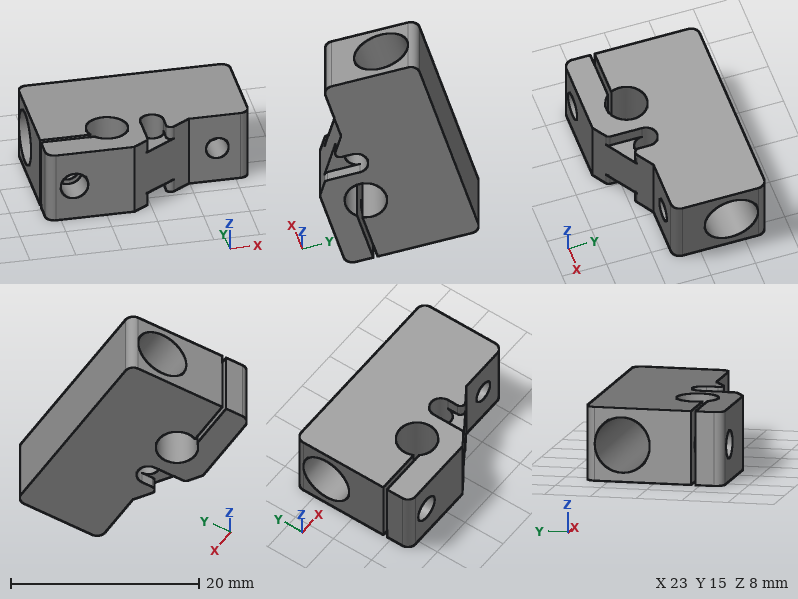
import cadquery as cq
import math

length = 23.0
width = 15.0
height = 8.0
corner_radius = 1.0
mid_z = height / 2

slope_start_x = 9.5
slope_end_x = 16.4
setback_y = 4.5

bore_diameter = 6.0
bore_y = width - height / 2

clamp_diameter = 4.5
clamp_x = 7.5
clamp_y = setback_y
slit_bottom_y = 3.01
slit_width = 0.48

wire_diameter = 2.5
wire_x = 12.5
wire_y = 5.0
channel_depth = 1.47
channel_mouth_radius = 0.5

screw_x = 3.0
screw_clearance_diameter = 3.0
screw_thread_diameter = 2.45
screw_thread_depth = 3.0
drill_tip_angle = 118.0
set_screw_x = 19.5
set_screw_diameter = 2.45


def y_cylinder(x, start_y, diameter, depth):
    """Cylinder at mid height, running from start_y toward +Y."""
    start = cq.Vector(x, start_y, mid_z)
    return cq.Workplane(cq.Solid.makeCylinder(diameter / 2, depth, start, cq.Vector(0, 1, 0)))


def make_block():
    block = (
        cq.Workplane("XY")
        .moveTo(0, 0)
        .lineTo(slope_start_x, 0)
        .lineTo(slope_end_x, setback_y)
        .lineTo(length, setback_y)
        .lineTo(length, width)
        .lineTo(0, width)
        .close()
        .extrude(height)
    )
    outer_corners = block.edges("|Z and (<X or >X)")
    return outer_corners.fillet(corner_radius)


def make_channel(bottom_z):
    """Straight channel from the small hole out through the sloped face."""
    return (
        cq.Workplane("XY", origin=(wire_x, wire_y, bottom_z))
        .rect(wire_diameter, 2 * wire_y)
        .extrude(channel_depth)
        .intersect(cq.Workplane("XY").box(length, wire_y, height, centered=False))
    )


def round_channel_mouths(body):
    """Round the upright edges where the channel walls meet the sloped face."""
    slope_rate = setback_y / (slope_end_x - slope_start_x)
    for wall_x in (wire_x - wire_diameter / 2, wire_x + wire_diameter / 2):
        mouth_y = (wall_x - slope_start_x) * slope_rate
        for edge_z in (channel_depth / 2, height - channel_depth / 2):
            mouth_edge = cq.selectors.NearestToPointSelector((wall_x, mouth_y, edge_z))
            body = body.edges("|Z").edges(mouth_edge).fillet(channel_mouth_radius)
    return body


def make_screw_hole():
    """Clearance hole through the clamp arm, then a blind hole with a drill tip."""
    slit_top_y = slit_bottom_y + slit_width
    radius = screw_thread_diameter / 2
    tip_length = radius / math.tan(math.radians(drill_tip_angle / 2))
    clearance = y_cylinder(screw_x, 0, screw_clearance_diameter, slit_top_y)
    thread = y_cylinder(screw_x, slit_top_y, screw_thread_diameter, screw_thread_depth)
    tip_start = cq.Vector(screw_x, slit_top_y + screw_thread_depth, mid_z)
    tip = cq.Solid.makeCone(radius, 0, tip_length, tip_start, cq.Vector(0, 1, 0))
    return clearance.union(thread).union(cq.Workplane(tip))


bore = cq.Workplane("YZ").center(bore_y, mid_z).circle(bore_diameter / 2).extrude(length)
clamp_bore = cq.Workplane("XY").center(clamp_x, clamp_y).circle(clamp_diameter / 2).extrude(height)
slit = cq.Workplane("XY").box(clamp_x, slit_width, height, centered=False).translate((0, slit_bottom_y, 0))
wire_hole = cq.Workplane("XY").center(wire_x, wire_y).circle(wire_diameter / 2).extrude(height)
set_screw_hole = y_cylinder(set_screw_x, setback_y, set_screw_diameter, bore_y - setback_y)

result = make_block().cut(bore).cut(clamp_bore).cut(slit).cut(wire_hole)
for channel_bottom_z in (0, height - channel_depth):
    result = result.cut(make_channel(channel_bottom_z))
result = round_channel_mouths(result)
result = result.cut(make_screw_hole()).cut(set_screw_hole)